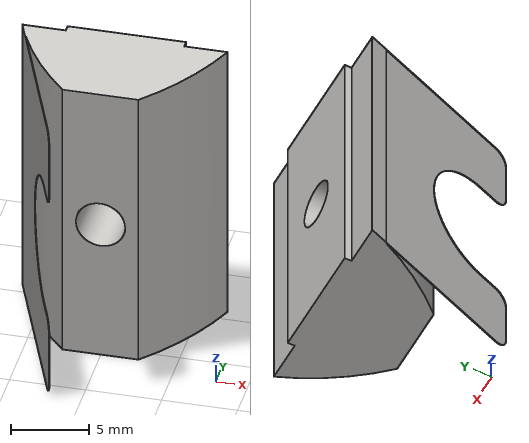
import cadquery as cq
import math

height = 20.0
back_width = 13.5
front_width = 5.0
body_depth = 6.68
flank_radius = 20.0
rib_width = 7.8
rib_depth = 0.5
hole_diameter = 3.25

flap_end_depth = 12.15
flap_thickness = 0.05
flap_corner_radius = 1.0
notch_width = 9.0
notch_bottom_depth = 5.62

flank_run = (back_width - front_width) / 2
half_chord = math.hypot(flank_run, body_depth) / 2
center_to_chord = math.sqrt(flank_radius**2 - half_chord**2)
sagitta = flank_radius - center_to_chord
outward_x = body_depth / (2 * half_chord)
outward_y = -flank_run / (2 * half_chord)
chord_mid_x = (back_width + front_width) / 4
chord_mid_y = -body_depth / 2
flank_mid_x = chord_mid_x + sagitta * outward_x
flank_mid_y = chord_mid_y + sagitta * outward_y
flank_center_x = chord_mid_x - center_to_chord * outward_x
flank_center_y = chord_mid_y - center_to_chord * outward_y


def make_body():
    """Curved wedge with a raised rib on its back and a through hole."""
    wedge = (
        cq.Workplane("XY")
        .moveTo(-back_width / 2, 0)
        .lineTo(back_width / 2, 0)
        .threePointArc((flank_mid_x, flank_mid_y), (front_width / 2, -body_depth))
        .lineTo(-front_width / 2, -body_depth)
        .threePointArc((-flank_mid_x, flank_mid_y), (-back_width / 2, 0))
        .close()
        .extrude(height)
    )
    rib = cq.Workplane("XY").rect(rib_width, 2 * rib_depth).extrude(height)
    hole = (
        cq.Workplane("XZ", origin=(0, 0, height / 2))
        .circle(hole_diameter / 2)
        .extrude(body_depth + rib_depth, both=True)
    )
    return wedge.union(rib).cut(hole)


def make_flap():
    """Slanted thin plate with a round-bottomed notch in its free edge."""
    slope_x = abs(flank_center_y) / flank_radius
    slope_y = (back_width / 2 - flank_center_x) / flank_radius
    flap_length = flap_end_depth / slope_y
    notch_radius = notch_width / 2
    notch_center = notch_bottom_depth / slope_y + notch_radius

    outer_face = cq.Plane(
        origin=(-back_width / 2, 0, height / 2),
        xDir=(slope_x, -slope_y, 0),
        normal=(-slope_y, -slope_x, 0),
    )
    return (
        cq.Workplane(outer_face)
        .moveTo(0, -height / 2)
        .lineTo(flap_length, -height / 2)
        .lineTo(flap_length, -notch_radius)
        .lineTo(notch_center, -notch_radius)
        .threePointArc((notch_center - notch_radius, 0), (notch_center, notch_radius))
        .lineTo(flap_length, notch_radius)
        .lineTo(flap_length, height / 2)
        .lineTo(0, height / 2)
        .close()
        .extrude(-flap_thickness)
        .edges(cq.selectors.ParallelDirSelector(outer_face.zDir))
        .edges("<Y")
        .fillet(flap_corner_radius)
    )


result = make_body().union(make_flap())